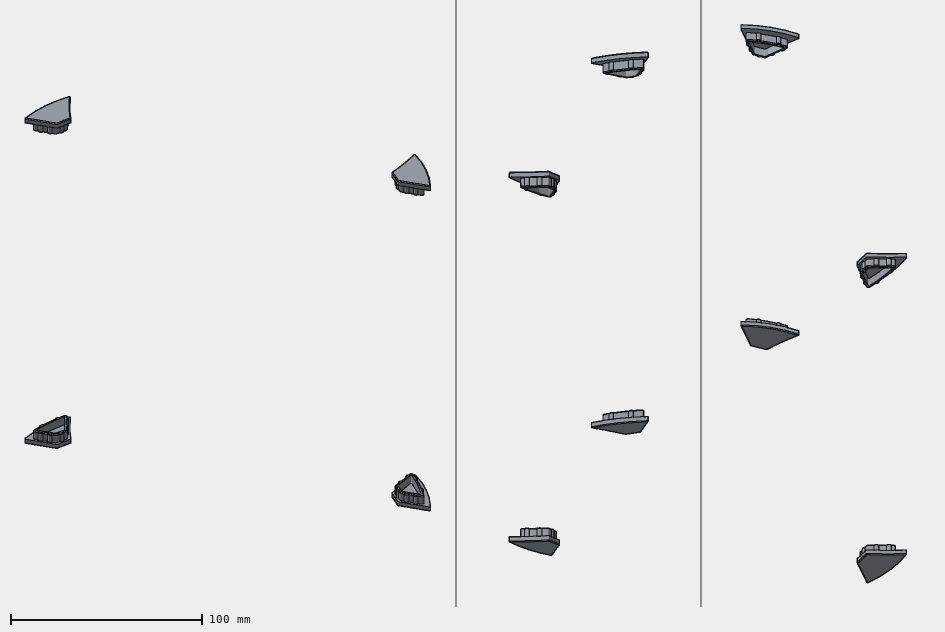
import cadquery as cq
import math

overall_height = 204.5
overall_depth = 26.8
front_y = -overall_depth / 2

cap_thickness = 2.9
skirt_length = 5.0
cap_top = overall_height / 2
cap_bottom = cap_top - cap_thickness
skirt_end = cap_bottom - skirt_length
edge_chamfer = 0.5

cap_corners = [
    (-111.0, front_y),
    (-93.0, front_y),
    (-87.5, front_y + 7.0),
    (-94.0, front_y + 27.5),
]
cap_round = 0.7

skirt_front_y = front_y + 1.3
skirt_corners = [
    (-107.2, skirt_front_y),
    (-94.0, skirt_front_y),
    (-89.2, front_y + 6.9),
    (-94.0, front_y + 22.0),
]
skirt_round = 1.0
wall = 1.3
cavity_round = 0.5

cap_hollow = 0.5
cap_bulge = 2.0
skirt_hollow = 0.2
skirt_bulge = 0.9

rib_radius = 1.5
rib_sink = 0.9
front_ribs = (0.36, 0.74)
slant_ribs = (0.5,)
inner_ribs = (0.3, 0.72)
outer_ribs = (0.26, 0.7)


def point_beside(start, end, fraction, offset):
    """Point at a fraction of the way from start to end, moved by offset to the right."""
    dx = end[0] - start[0]
    dy = end[1] - start[1]
    length = math.hypot(dx, dy)
    return (
        start[0] + fraction * dx + offset * dy / length,
        start[1] + fraction * dy - offset * dx / length,
    )


def outline(corners, hollow, bulge, z):
    """Closed outline of two straight sides and two curved sides at height z."""
    outer, front, inner, tip = corners
    return (
        cq.Workplane("XY", origin=(0, 0, z))
        .moveTo(*outer)
        .lineTo(*front)
        .lineTo(*inner)
        .threePointArc(point_beside(inner, tip, 0.5, -hollow), tip)
        .threePointArc(point_beside(tip, outer, 0.5, bulge), outer)
        .close()
    )


def make_cap():
    """Flat cap with rounded corners and a chamfered top rim."""
    cap = outline(cap_corners, cap_hollow, cap_bulge, cap_bottom).extrude(cap_thickness)
    cap = cap.edges("|Z").fillet(cap_round)
    return cap.faces(">Z").edges().chamfer(edge_chamfer)


def skirt_outline():
    """Skirt outline at the free end of the skirt."""
    return outline(skirt_corners, skirt_hollow, skirt_bulge, skirt_end)


def make_ribs():
    """Grip ribs along all four sides of the skirt."""
    outer, front, inner, tip = skirt_corners
    sides = [
        (outer, front, 0, front_ribs),
        (front, inner, 0, slant_ribs),
        (inner, tip, -skirt_hollow, inner_ribs),
        (tip, outer, skirt_bulge, outer_ribs),
    ]
    centres = []
    for start, end, rise, fractions in sides:
        for fraction in fractions:
            side_rise = 4 * rise * fraction * (1 - fraction)
            centres.append(point_beside(start, end, fraction, side_rise - rib_sink))
    ribs = (
        cq.Workplane("XY", origin=(0, 0, skirt_end))
        .pushPoints(centres)
        .circle(rib_radius)
        .extrude(skirt_length)
    )
    return ribs.faces("<Z").edges().chamfer(edge_chamfer)


def make_plug():
    """Cap with a hollow, ribbed skirt below it, as one solid."""
    skirt = skirt_outline().extrude(skirt_length).edges("|Z").fillet(skirt_round)
    skirt = skirt.faces("<Z").edges().chamfer(edge_chamfer)
    cavity = skirt_outline().offset2D(-wall).extrude(skirt_length)
    cavity = cavity.edges("|Z").fillet(cavity_round)
    plug = make_cap().union(skirt).union(make_ribs()).cut(cavity)
    return plug.solids().val()


left_plug = make_plug()
right_plug = left_plug.mirror("YZ")
plugs = []
for top_plug in (left_plug, right_plug):
    plugs.append(top_plug)
    plugs.append(top_plug.mirror("XY"))

result = cq.Compound.makeCompound(plugs)